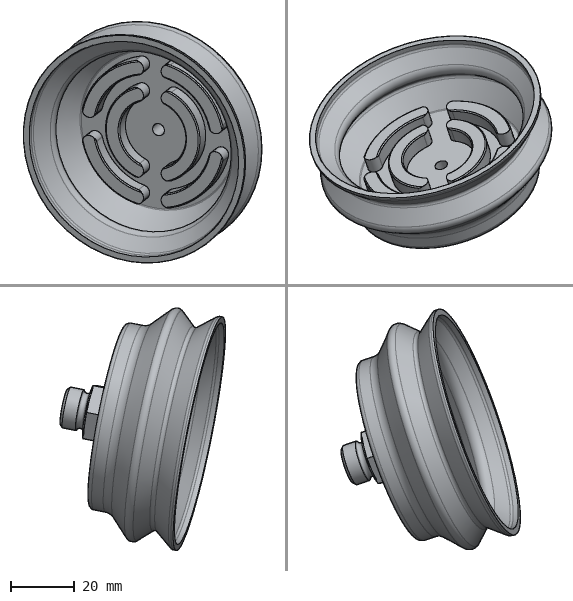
import cadquery as cq
import math


LIP_Y = 0.0
FLOOR_Y = 20.7
BODY_TOP_Y = 29.5
HEX_TOP_Y = 35.35
COLLAR_TOP_Y = 35.8
THREAD_START_Y = 38.5
TOTAL_HEIGHT = 43.7

LIP_RADIUS = 75 / 2
LIP_CORNER_Y = 1.2
LIP_BLEND_RADIUS = 1.4
HEAD_RADIUS = 60 / 2
HEAD_FILLET = 1.5
NECK_FILLET = 4.2
RIDGE_Y = 14.45
RIDGE_FILLET = 2.0
GROOVE_Y = 7.8
GROOVE_FILLET = 1.2
UPPER_FLANK_ANGLE = math.radians(46)
LOWER_FLANK_ANGLE = math.radians(42.5)

MOUTH_RADIUS = 71 / 2
MOUTH_CORNER_Y = 2.2
MOUTH_FILLET = 1.1
RIB_CORNER_RADIUS = 28.6
RIB_Y = 8.0
RIB_FILLET = 2.7
FLOOR_RADIUS = 26.4
FLOOR_FILLET = 0.5
POCKET_ANGLE = math.radians(45)
POCKET_FILLET = 1.0

PAD_HEIGHT = 5.2
PAD_WIDTH = 4.8
PAD_CHAMFER = 0.4
PAD_END_GAP = 3.0
INNER_PAD_RADIUS = 13.6
OUTER_PAD_RADIUS = 22.05

HEX_ACROSS_FLATS = 17.0
HEX_ACROSS_CORNERS = HEX_ACROSS_FLATS / math.cos(math.pi / 6)
COLLAR_RADIUS = HEX_ACROSS_FLATS / 2
THREAD_RADIUS = 13.16 / 2
NECK_RADIUS = 5.65
RELIEF_LOWER_ANGLE = math.radians(45)
RELIEF_UPPER_ANGLE = math.radians(60)
BORE_DIAMETER = 4.0


def rounded_profile(corners):
    """Closed wire in the XY plane from (radius, y, fillet radius) corners."""
    parts = []
    count = len(corners)
    for i, (x, y, fillet) in enumerate(corners):
        corner = cq.Vector(x, y, 0)
        if fillet == 0:
            parts.append((corner, None, corner))
            continue
        before = cq.Vector(*corners[i - 1][:2], 0) - corner
        after = cq.Vector(*corners[(i + 1) % count][:2], 0) - corner
        half_angle = before.getAngle(after) / 2
        setback = fillet / math.tan(half_angle)
        bisector = (before.normalized() + after.normalized()).normalized()
        middle = corner + bisector * (fillet / math.sin(half_angle) - fillet)
        start = corner + before.normalized() * setback
        end = corner + after.normalized() * setback
        parts.append((start, middle, end))
    edges = []
    for i, (start, middle, end) in enumerate(parts):
        if middle is not None:
            edges.append(cq.Edge.makeThreePointArc(start, middle, end))
        edges.append(cq.Edge.makeLine(end, parts[(i + 1) % count][0]))
    return cq.Wire.assembleEdges(edges)


def revolved(corners):
    """Solid of revolution about the Y axis."""
    wire = rounded_profile(corners)
    return cq.Workplane("XY").add(wire).toPending().revolve(360, (0, 0, 0), (0, 1, 0))


def fillet_reach(angle_a, angle_b):
    """Distance from a sharp corner to its rounded crest, across the axis, per unit of fillet radius.

    The angles of the two flanks are measured from the axis.
    """
    return (math.sin(angle_a) + math.sin(angle_b)) / math.sin(angle_a + angle_b) - 1


def bellows_body():
    """Cup with one outer fold, hollowed out up to the cavity floor."""
    ridge_overhang = RIDGE_FILLET * fillet_reach(UPPER_FLANK_ANGLE, LOWER_FLANK_ANGLE)
    ridge_corner_radius = LIP_RADIUS + ridge_overhang
    groove_corner_radius = ridge_corner_radius - (RIDGE_Y - GROOVE_Y) * math.tan(LOWER_FLANK_ANGLE)
    neck_y = RIDGE_Y + (ridge_corner_radius - HEAD_RADIUS) / math.tan(UPPER_FLANK_ANGLE)
    outside = revolved([
        (0, LIP_Y, 0),
        (LIP_RADIUS, LIP_Y, 0),
        (LIP_RADIUS, LIP_CORNER_Y, LIP_BLEND_RADIUS),
        (groove_corner_radius, GROOVE_Y, GROOVE_FILLET),
        (ridge_corner_radius, RIDGE_Y, RIDGE_FILLET),
        (HEAD_RADIUS, neck_y, NECK_FILLET),
        (HEAD_RADIUS, BODY_TOP_Y, HEAD_FILLET),
        (0, BODY_TOP_Y, 0),
    ])
    pocket_y = (RIB_Y + FLOOR_Y - (RIB_CORNER_RADIUS - FLOOR_RADIUS) / math.tan(POCKET_ANGLE)) / 2
    pocket_corner_radius = FLOOR_RADIUS + (FLOOR_Y - pocket_y) * math.tan(POCKET_ANGLE)
    cavity = revolved([
        (0, LIP_Y, 0),
        (MOUTH_RADIUS, LIP_Y, 0),
        (MOUTH_RADIUS, MOUTH_CORNER_Y, MOUTH_FILLET),
        (RIB_CORNER_RADIUS, RIB_Y, RIB_FILLET),
        (pocket_corner_radius, pocket_y, POCKET_FILLET),
        (FLOOR_RADIUS, FLOOR_Y, FLOOR_FILLET),
        (0, FLOOR_Y, 0),
    ])
    return outside.cut(cavity)


def support_pad(radius, middle_angle, half_span):
    """Curved bar with round ends on the cavity floor, its two curved top edges chamfered."""
    def on_circle(r, angle):
        return (r * math.cos(angle), r * math.sin(angle))

    inner = radius - PAD_WIDTH / 2
    outer = radius + PAD_WIDTH / 2
    first = middle_angle - half_span
    last = middle_angle + half_span
    cap_turn = math.atan(PAD_WIDTH / 2 / radius)
    cap_radius = math.hypot(radius, PAD_WIDTH / 2)
    bar = (
        cq.Workplane("XZ", origin=(0, FLOOR_Y, 0))
        .moveTo(*on_circle(outer, first))
        .threePointArc(on_circle(outer, middle_angle), on_circle(outer, last))
        .threePointArc(on_circle(cap_radius, last + cap_turn), on_circle(inner, last))
        .threePointArc(on_circle(inner, middle_angle), on_circle(inner, first))
        .threePointArc(on_circle(cap_radius, first - cap_turn), on_circle(outer, first))
        .close()
        .extrude(PAD_HEIGHT)
    )
    top_y = FLOOR_Y - PAD_HEIGHT
    chamfered_ring = revolved([
        (inner, FLOOR_Y, 0),
        (inner, top_y + PAD_CHAMFER, 0),
        (inner + PAD_CHAMFER, top_y, 0),
        (outer - PAD_CHAMFER, top_y, 0),
        (outer, top_y + PAD_CHAMFER, 0),
        (outer, FLOOR_Y, 0),
    ])
    return bar.intersect(chamfered_ring)


def support_pads():
    """Two half-circle pads around the bore and four quarter-circle pads around those."""
    end_offset = PAD_END_GAP + PAD_WIDTH / 2
    inner_half_span = math.pi / 2 - math.asin(end_offset / INNER_PAD_RADIUS)
    outer_half_span = math.pi / 4 - math.asin(end_offset / OUTER_PAD_RADIUS)
    inner_pads = [support_pad(INNER_PAD_RADIUS, i * math.pi, inner_half_span) for i in range(2)]
    outer_pads = [
        support_pad(OUTER_PAD_RADIUS, (i + 0.5) * math.pi / 2, outer_half_span) for i in range(4)
    ]
    return inner_pads + outer_pads


def hexagon():
    """Hexagonal nut with two corners on the X axis."""
    return (
        cq.Workplane("XZ", origin=(0, HEX_TOP_Y, 0))
        .polygon(6, HEX_ACROSS_CORNERS)
        .extrude(HEX_TOP_Y - BODY_TOP_Y)
    )


def threaded_stud():
    """Round collar, thread relief and chamfered thread as plain turned surfaces."""
    lower_slope = 1 / math.tan(RELIEF_LOWER_ANGLE)
    upper_slope = 1 / math.tan(RELIEF_UPPER_ANGLE)
    corner_depth = (THREAD_START_Y - COLLAR_TOP_Y) / (lower_slope + upper_slope)
    corner_radius = THREAD_RADIUS - corner_depth
    corner_y = COLLAR_TOP_Y + corner_depth * lower_slope
    relief_fillet = (NECK_RADIUS - corner_radius) / fillet_reach(RELIEF_LOWER_ANGLE, RELIEF_UPPER_ANGLE)
    chamfer = THREAD_RADIUS - NECK_RADIUS
    return revolved([
        (0, HEX_TOP_Y, 0),
        (COLLAR_RADIUS, HEX_TOP_Y, 0),
        (COLLAR_RADIUS, COLLAR_TOP_Y, 0),
        (THREAD_RADIUS, COLLAR_TOP_Y, 0),
        (corner_radius, corner_y, relief_fillet),
        (THREAD_RADIUS, THREAD_START_Y, 0),
        (THREAD_RADIUS, TOTAL_HEIGHT - chamfer, 0),
        (THREAD_RADIUS - chamfer, TOTAL_HEIGHT, 0),
        (0, TOTAL_HEIGHT, 0),
    ])


def bore():
    """Suction passage through the whole length."""
    return cq.Workplane("XZ").circle(BORE_DIAMETER / 2).extrude(-TOTAL_HEIGHT)


result = bellows_body()
for pad in support_pads():
    result = result.union(pad)
result = result.union(hexagon()).union(threaded_stud()).cut(bore())